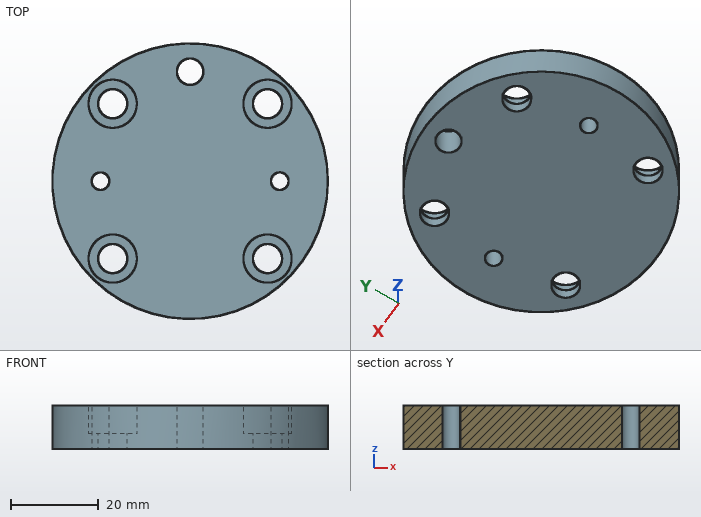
import cadquery as cq

plate_diameter = 63
plate_thickness = 10.0

pitch_diameter = 50.0
screw_count = 4
first_screw_angle = 45
screw_hole_diameter = 6.6
counterbore_diameter = 11.0
counterbore_depth = 6.5
locating_hole_diameter = 6.0

dowel_hole_diameter = 4.0
dowel_spacing = 40.95

pitch_radius = pitch_diameter / 2

plate = cq.Workplane("XY").circle(plate_diameter / 2).extrude(plate_thickness)

plate = (
    plate.faces(">Z")
    .workplane(origin=(0, 0, plate_thickness))
    .polarArray(pitch_radius, first_screw_angle, 360, screw_count)
    .cboreHole(screw_hole_diameter, counterbore_diameter, counterbore_depth)
)

plate = (
    plate.faces(">Z")
    .workplane(origin=(0, 0, plate_thickness))
    .center(0, pitch_radius)
    .hole(locating_hole_diameter)
)

plate = (
    plate.faces(">Z")
    .workplane(origin=(0, 0, plate_thickness))
    .pushPoints([(-dowel_spacing / 2, 0), (dowel_spacing / 2, 0)])
    .hole(dowel_hole_diameter)
)

result = plate